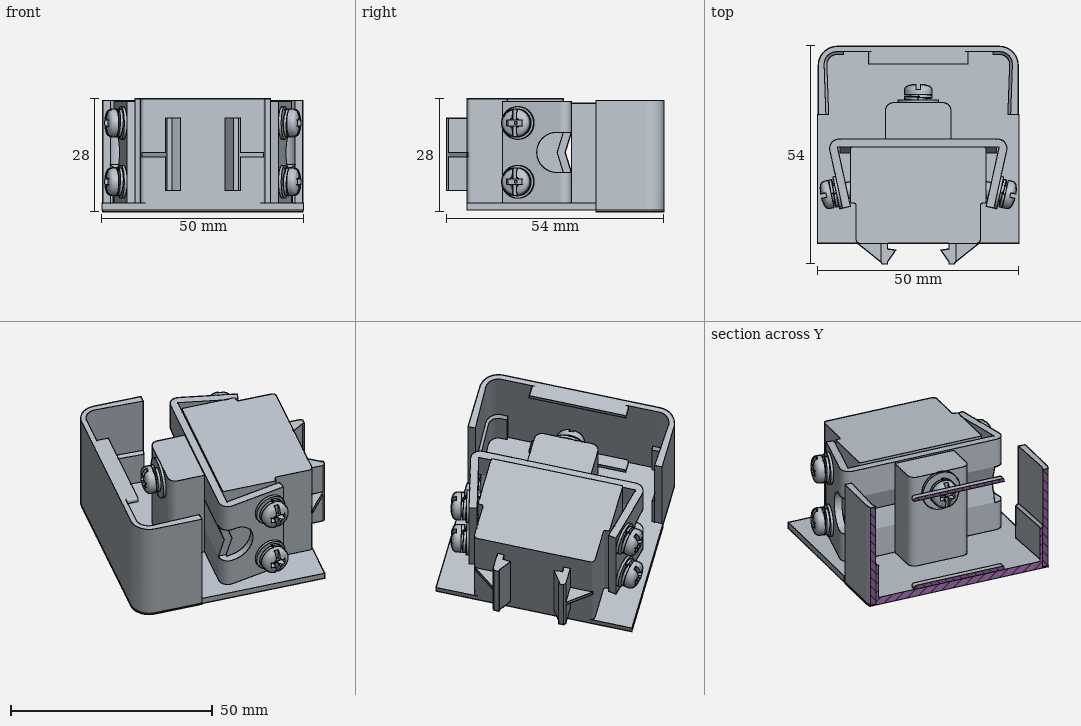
import cadquery as cq
import math


PLATE_HALF_WIDTH = 25.0
FOOT_THICKNESS = 0.45
PLATE_TOP = 2.1

COVER_HALF_WIDTH = 24.8
COVER_FRONT = 31.9
COVER_BACK = 48.85
COVER_TOP = 27.6
COVER_CORNER_RADIUS = 4.75
COVER_WALL = 1.35
COVER_TIP_WALL = 1.9
COVER_BAY_BACK = COVER_BACK - COVER_WALL
COVER_BAY_HALF_BACK = COVER_HALF_WIDTH - COVER_WALL
COVER_BAY_HALF_FRONT = COVER_HALF_WIDTH - COVER_TIP_WALL
COVER_BAY_RADIUS = 3.2
TAB_HALF_WIDTH = 12.35
TAB_LENGTH = 3.0
TAB_THICKNESS = 1.0
TAB_EDGE_RADIUS = 0.65

LIP_THICKNESS = 0.7
LIP_TOP = 11.65
LIP_GAP_HALF_WIDTH = 18.45

BLOCK_TOP = 28.0
BLOCK_BACK = 23.85
BLOCK_HALF_WIDTH = 16.8
BLOCK_FRONT_HALF_WIDTH = 15.4
SHOULDER_Y = 10.0
SHOULDER_RADIUS = 0.6
FRONT_CORNER_RADIUS = 1.0
REAR_PART_RADIUS = 0.45

SHEET = 2.0
BRACKET_TOP = 27.3
BRACKET_BACK = BLOCK_BACK + SHEET
BRACKET_MIDDLE = (PLATE_TOP + BRACKET_TOP) / 2
BEND_HALF_WIDTH = 20.05
BEND_RADIUS = 2.3
ARM_LEAN = 12.4
ARM_LENGTH = 15.0
NOTCH_RADIUS = 4.95
NOTCH_CENTER_Y = 22.25
DENT_HALF_WIDTH = 19.4
DENT_DEPTH = 1.5

NUT_BLOCK_HALF_WIDTH = 8.1
NUT_BLOCK_BACK = 34.9
NUT_BLOCK_TOP = 26.9
NUT_BLOCK_RADIUS = 1.95

CLIP_BOTTOM = 5.25
CLIP_TOP = 23.2
CLIP_LENGTH = 5.15
CLIP_INNER_X = 7.6
CLIP_OUTER_X = 9.3
CLIP_TIP_X = 5.55
CLIP_BARB_Y = -1.35
CLIP_TIP_Y = -1.6
CLIP_CHAMFER_X = 0.45
CLIP_END_BEVEL = 0.55
WEB_BOTTOM = 13.6
WEB_THICKNESS = 1.1
WEB_ROOT_X = 15.0

SHANK_RADIUS = 2.0
SHANK_LENGTH = 6.5
HEAD_RADIUS = 3.45
WASHER_THICKNESS = 0.7
SPRING_HEIGHT = 1.3
SPRING_SECTION = 0.7
HEAD_HEIGHT = 2.65
HEAD_RIM_HEIGHT = 0.95
CROWN_RADIUS = 2.7
CROWN_RISE = 0.55
SPLIT_WIDTH = 0.45
SPLIT_SLANT = 30
SLOT_WIDTH = 1.1
SLOT_DEPTH = 1.4
CROSS_LENGTH = 3.9
CROSS_WIDTH = 1.4
CROSS_DEPTH = 1.85
POINT_RADIUS = 1.4
POINT_DEPTH = 2.45
CLAMP_WASHER_RADIUS = 4.05
CLAMP_SCREW_ALONG_ARM = 11.0
CLAMP_SCREW_SPACING = 14.6
REAR_WASHER_RADIUS = 5.1
REAR_SCREW_Z = BRACKET_MIDDLE + CLAMP_SCREW_SPACING / 2


def box(x0, x1, y0, y1, z0, z1):
    return cq.Workplane("XY").box(x1 - x0, y1 - y0, z1 - z0, centered=False).translate((x0, y0, z0))


def cover_bay(inset, bottom, height, taper=0):
    """Solid that fills the space inside the cover, kept `inset` away from its wall."""
    front_half = COVER_BAY_HALF_FRONT - inset
    back_half = COVER_BAY_HALF_BACK - inset
    back = COVER_BAY_BACK - inset
    sketch = (
        cq.Sketch()
        .polygon([
            (-front_half, COVER_FRONT), (front_half, COVER_FRONT),
            (back_half, back), (-back_half, back), (-front_half, COVER_FRONT),
        ])
        .vertices(">Y")
        .fillet(COVER_BAY_RADIUS - inset)
    )
    return cq.Workplane("XY").workplane(offset=bottom).placeSketch(sketch).extrude(height, taper=taper)


def v_prism(base_y, half_length):
    """Prism along X: a V with its base on the plane y = base_y and its point toward the front."""
    return (
        cq.Workplane("YZ")
        .polyline([
            (base_y, BRACKET_MIDDLE - NOTCH_RADIUS),
            (base_y - DENT_DEPTH, BRACKET_MIDDLE),
            (base_y, BRACKET_MIDDLE + NOTCH_RADIUS),
        ])
        .close()
        .extrude(half_length, both=True)
    )



def clamp_screw_seats():
    """Planes on the outer faces of the arms, with their normals pointing out of the sheet."""
    lean = math.radians(ARM_LEAN)
    seat_x = BEND_HALF_WIDTH - CLAMP_SCREW_ALONG_ARM * math.sin(lean) + SHEET * math.cos(lean)
    seat_y = BLOCK_BACK - CLAMP_SCREW_ALONG_ARM * math.cos(lean) - SHEET * math.sin(lean)
    return [
        cq.Plane(
            origin=(side * seat_x, seat_y, BRACKET_MIDDLE + level * CLAMP_SCREW_SPACING / 2),
            xDir=(0, 0, 1),
            normal=(side * math.cos(lean), -math.sin(lean), 0),
        )
        for side in (-1, 1)
        for level in (-1, 1)
    ]


CLAMP_SEATS = clamp_screw_seats()
REAR_SEAT = cq.Plane(origin=(0, NUT_BLOCK_BACK, REAR_SCREW_Z), xDir=(0, 0, 1), normal=(0, 1, 0))


def shank(seat):
    return cq.Workplane(seat).circle(SHANK_RADIUS).extrude(-SHANK_LENGTH)



def make_spring_washer():
    """Split ring whose ends part at local +X: one rises to the head, the other drops to the washer."""
    middle = WASHER_THICKNESS + SPRING_HEIGHT / 2
    rise = math.degrees(math.atan((SPRING_HEIGHT - SPRING_SECTION) / 2 / (2 * HEAD_RADIUS)))
    ring = (
        cq.Workplane("XY")
        .workplane(offset=middle - SPRING_SECTION / 2)
        .circle(HEAD_RADIUS)
        .circle(SHANK_RADIUS)
        .extrude(SPRING_SECTION)
    )
    half_space = box(-HEAD_RADIUS, HEAD_RADIUS, 0, HEAD_RADIUS, 0, 2 * middle)
    hinge_start = (-HEAD_RADIUS, 0, middle)
    hinge_end = (-HEAD_RADIUS, 1, middle)
    high_half = ring.intersect(half_space).rotate(hinge_start, hinge_end, -rise)
    low_half = ring.cut(half_space).rotate(hinge_start, hinge_end, rise)
    split = (
        cq.Workplane("XY")
        .box(HEAD_RADIUS, SPLIT_WIDTH, 2 * SPRING_HEIGHT)
        .rotate((0, 0, 0), (1, 0, 0), SPLIT_SLANT)
        .translate((SHANK_RADIUS + HEAD_RADIUS / 2, 0, middle))
    )
    return high_half.union(low_half).cut(split)


def make_drive():
    """Screwdriver recess below local z = 0: a full-width slot, a shorter cross slot and a conical point."""
    slot = cq.Workplane("XY").box(2 * HEAD_RADIUS, SLOT_WIDTH, 2 * SLOT_DEPTH)
    cross = cq.Workplane("XY").box(CROSS_WIDTH, CROSS_LENGTH, 2 * CROSS_DEPTH)
    point = cq.Workplane(cq.Solid.makeCone(POINT_RADIUS, 0, POINT_DEPTH, dir=cq.Vector(0, 0, -1)))
    return slot.union(cross).union(point)


def make_screw(seat, washer_radius):
    head_bottom = WASHER_THICKNESS + SPRING_HEIGHT
    rim_top = head_bottom + HEAD_RIM_HEIGHT
    head_top = head_bottom + HEAD_HEIGHT
    crown_base = head_top - CROWN_RISE
    dome_radius = (CROWN_RADIUS**2 + CROWN_RISE**2) / (2 * CROWN_RISE)
    dome_mid_z = head_top - dome_radius + math.sqrt(dome_radius**2 - (CROWN_RADIUS / 2) ** 2)
    profile = (
        cq.Workplane("XY")
        .moveTo(0, -SHANK_LENGTH)
        .lineTo(SHANK_RADIUS, -SHANK_LENGTH)
        .lineTo(SHANK_RADIUS, 0)
        .lineTo(washer_radius, 0)
        .lineTo(washer_radius, WASHER_THICKNESS)
        .lineTo(SHANK_RADIUS, WASHER_THICKNESS)
        .lineTo(SHANK_RADIUS, head_bottom)
        .lineTo(HEAD_RADIUS, head_bottom)
        .lineTo(HEAD_RADIUS, rim_top)
        .tangentArcPoint((CROWN_RADIUS, crown_base), relative=False)
        .threePointArc((CROWN_RADIUS / 2, dome_mid_z), (0, head_top))
        .close()
    )
    turned = profile.revolve(360, (0, 0, 0), (0, 1, 0)).rotate((0, 0, 0), (1, 0, 0), 90)
    screw = turned.union(make_spring_washer()).cut(make_drive().translate((0, 0, head_top)))
    return screw.val().moved(cq.Location(seat))



def cover_footprint(bottom, top):
    return (
        box(-COVER_HALF_WIDTH, COVER_HALF_WIDTH, COVER_FRONT, COVER_BACK, bottom, top)
        .edges("|Z and >Y")
        .fillet(COVER_CORNER_RADIUS)
    )


def make_plate():
    front = box(-PLATE_HALF_WIDTH, PLATE_HALF_WIDTH, 0, COVER_FRONT, FOOT_THICKNESS, PLATE_TOP)
    back = cover_bay(0, FOOT_THICKNESS, PLATE_TOP - FOOT_THICKNESS)
    foot = cover_footprint(0, FOOT_THICKNESS)
    return front.union(back).union(foot)


def make_lip():
    bevel_bottom = LIP_TOP - LIP_THICKNESS
    lip = cover_bay(0, FOOT_THICKNESS, LIP_TOP - FOOT_THICKNESS)
    lip = lip.cut(cover_bay(LIP_THICKNESS, FOOT_THICKNESS, LIP_TOP - FOOT_THICKNESS))
    lip = lip.cut(cover_bay(LIP_THICKNESS, bevel_bottom, LIP_THICKNESS, taper=-45))
    gap = box(-LIP_GAP_HALF_WIDTH, LIP_GAP_HALF_WIDTH, COVER_FRONT, COVER_BACK, FOOT_THICKNESS, LIP_TOP)
    return lip.cut(gap)


def make_terminal_block():
    front = (
        box(-BLOCK_FRONT_HALF_WIDTH, BLOCK_FRONT_HALF_WIDTH, 0, SHOULDER_Y, FOOT_THICKNESS, BLOCK_TOP)
        .edges("|Z and <Y")
        .fillet(FRONT_CORNER_RADIUS)
    )
    back = (
        box(-BLOCK_HALF_WIDTH, BLOCK_HALF_WIDTH, SHOULDER_Y, BLOCK_BACK, FOOT_THICKNESS, BLOCK_TOP)
        .edges("|Z")
        .fillet(REAR_PART_RADIUS)
    )
    inner_corners = cq.selectors.BoxSelector(
        (-BLOCK_FRONT_HALF_WIDTH - SHOULDER_RADIUS, SHOULDER_Y - SHOULDER_RADIUS, FOOT_THICKNESS),
        (BLOCK_FRONT_HALF_WIDTH + SHOULDER_RADIUS, SHOULDER_Y + SHOULDER_RADIUS, BLOCK_TOP),
    )
    block = front.union(back).edges("|Z").edges(inner_corners).fillet(SHOULDER_RADIUS)
    return block.cut(v_prism(BLOCK_BACK, BLOCK_HALF_WIDTH))


def make_nut_block():
    return (
        box(
            -NUT_BLOCK_HALF_WIDTH, NUT_BLOCK_HALF_WIDTH,
            BRACKET_BACK, NUT_BLOCK_BACK,
            FOOT_THICKNESS, NUT_BLOCK_TOP,
        )
        .edges("|Z and >Y")
        .fillet(NUT_BLOCK_RADIUS)
    )


def make_clip():
    """Clip on the right: a barbed post, stiffened by a web on its outer side."""
    root_y = FRONT_CORNER_RADIUS
    post = (
        cq.Workplane("XY")
        .workplane(offset=CLIP_BOTTOM)
        .polyline([
            (CLIP_OUTER_X, root_y),
            (CLIP_INNER_X, root_y),
            (CLIP_INNER_X, CLIP_BARB_Y),
            (CLIP_TIP_X, CLIP_TIP_Y),
            (CLIP_INNER_X, CLIP_END_BEVEL - CLIP_LENGTH),
            (CLIP_INNER_X, -CLIP_LENGTH),
            (CLIP_OUTER_X - CLIP_CHAMFER_X, -CLIP_LENGTH),
            (CLIP_OUTER_X, CLIP_END_BEVEL - CLIP_LENGTH),
        ])
        .close()
        .extrude(CLIP_TOP - CLIP_BOTTOM)
    )
    web = (
        cq.Workplane("XY")
        .workplane(offset=WEB_BOTTOM)
        .polyline([
            (CLIP_OUTER_X, CLIP_END_BEVEL - CLIP_LENGTH),
            (WEB_ROOT_X, 0),
            (WEB_ROOT_X, root_y),
            (CLIP_OUTER_X, root_y),
        ])
        .close()
        .extrude(WEB_THICKNESS)
    )
    return post.union(web)


def make_housing():
    clip = make_clip()
    housing = make_plate()
    for piece in (make_lip(), make_terminal_block(), make_nut_block(), clip, clip.mirror("YZ")):
        housing = housing.union(piece)
    for seat in CLAMP_SEATS + [REAR_SEAT]:
        housing = housing.cut(shank(seat))
    return housing



def make_tab():
    """Tab that points forward from the back wall, with its two upper side edges rounded."""
    return (
        box(
            -TAB_HALF_WIDTH, TAB_HALF_WIDTH,
            COVER_BAY_BACK - TAB_LENGTH, COVER_BACK - COVER_WALL / 2,
            0, TAB_THICKNESS,
        )
        .edges(">Z and |Y")
        .fillet(TAB_EDGE_RADIUS)
    )


def make_cover():
    shell = cover_footprint(FOOT_THICKNESS, COVER_TOP).cut(cover_bay(0, 0, COVER_TOP))
    upper_tab = make_tab().translate((0, 0, COVER_TOP - TAB_THICKNESS))
    lower_tab = make_tab().translate((0, 0, PLATE_TOP))
    return shell.union(upper_tab).union(lower_tab)



def make_bracket():
    lean = math.radians(ARM_LEAN)
    height = BRACKET_TOP - PLATE_TOP
    tip_x = BEND_HALF_WIDTH - ARM_LENGTH * math.sin(lean)
    tip_y = BLOCK_BACK - ARM_LENGTH * math.cos(lean)
    outer_tip_x = tip_x + SHEET * math.cos(lean)
    outer_tip_y = tip_y - SHEET * math.sin(lean)
    outer_bend_x = outer_tip_x + (BRACKET_BACK - outer_tip_y) * math.tan(lean)
    right_half = [
        (outer_bend_x, BRACKET_BACK),
        (outer_tip_x, outer_tip_y),
        (tip_x, tip_y),
        (BEND_HALF_WIDTH, BLOCK_BACK),
    ]
    left_half = [(-x, y) for x, y in reversed(right_half)]
    bracket = (
        cq.Workplane("XY")
        .workplane(offset=PLATE_TOP)
        .polyline(right_half + left_half)
        .close()
        .extrude(height)
        .edges("|Z and >Y")
        .fillet(BEND_RADIUS)
    )

    notch = (
        cq.Workplane("YZ")
        .center(NOTCH_CENTER_Y, BRACKET_MIDDLE)
        .circle(NOTCH_RADIUS)
        .extrude(outer_bend_x, both=True)
    )
    notch = notch.union(box(
        -outer_bend_x, outer_bend_x, NOTCH_CENTER_Y, BRACKET_BACK,
        BRACKET_MIDDLE - NOTCH_RADIUS, BRACKET_MIDDLE + NOTCH_RADIUS,
    ))
    wall = box(-DENT_HALF_WIDTH, DENT_HALF_WIDTH, BLOCK_BACK, BRACKET_BACK, PLATE_TOP, BRACKET_TOP)
    bracket = bracket.cut(notch.cut(wall))

    bracket = bracket.cut(v_prism(BRACKET_BACK, DENT_HALF_WIDTH))
    bracket = bracket.union(v_prism(BLOCK_BACK, DENT_HALF_WIDTH))

    for seat in CLAMP_SEATS:
        bracket = bracket.cut(shank(seat))
    return bracket


housing = make_housing()
cover = make_cover()
bracket = make_bracket()
clamp_screws = [make_screw(seat, CLAMP_WASHER_RADIUS) for seat in CLAMP_SEATS]
rear_screw = make_screw(REAR_SEAT, REAR_WASHER_RADIUS)

result = cq.Compound.makeCompound([
    housing.val(),
    cover.val(),
    bracket.val(),
    *clamp_screws,
    rear_screw,
])